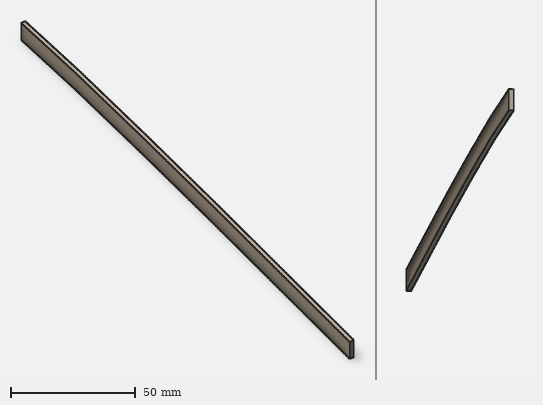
import cadquery as cq

length = 236.42
height = 9.0
thickness = 2.0

near_fraction = 1 / 16
near_rise = 0.26
quarter_fraction = 1 / 4
quarter_rise = 0.05
middle_fraction = 1 / 2
middle_drop = 1.03
end_drop = 4.40

outer_points = [
    cq.Vector(0, 0),
    cq.Vector(length * near_fraction, near_rise),
    cq.Vector(length * quarter_fraction, quarter_rise),
    cq.Vector(length * middle_fraction, -middle_drop),
    cq.Vector(length, -end_drop),
]


def inner_point(outer_curve, point):
    """The point one thickness towards -Y from an outer point, square to the outer curve."""
    tangent = outer_curve.tangentAt(outer_curve.paramAt(point), mode="parameter")
    return point + cq.Vector(tangent.y, -tangent.x) * thickness


def curved_strip():
    """Strip of even thickness along the outer curve, with square-cut ends."""
    outer_curve = cq.Edge.makeSpline(outer_points)
    inner_points = [inner_point(outer_curve, point) for point in outer_points]
    inner_curve = cq.Edge.makeSpline(inner_points)
    near_end = cq.Edge.makeLine(inner_points[0], outer_points[0])
    far_end = cq.Edge.makeLine(outer_points[-1], inner_points[-1])
    outline = cq.Wire.assembleEdges([outer_curve, far_end, inner_curve, near_end])
    return cq.Solid.extrudeLinear(outline, [], cq.Vector(0, 0, height))


result = cq.Workplane(obj=curved_strip())